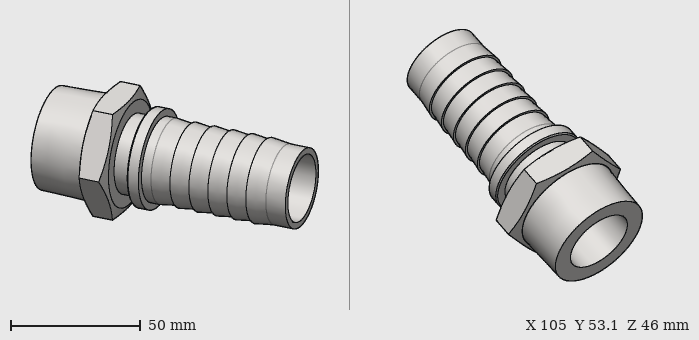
import cadquery as cq
import math

total_length = 105.0
bore_diameter = 27.0
tube_diameter = 32.0

thread_length = 21.0
thread_start_diameter = 41.3
thread_taper = 1 / 16

hex_width = 12.0
hex_across_flats = 46.0
hex_across_corners = hex_across_flats / math.cos(math.radians(30))
hex_face_diameter = 42.8
hex_chamfer_angle = 20.0

collar_start = 40.0
collar_end = 44.9
collar_diameter = 40.0
collar_chamfer = 0.5

barb_diameter = 34.0
barb_count = 6
barb_pitch = 8.0
tip_length = 8.2

hex_end = thread_length + hex_width
barbs_start = total_length - tip_length - barb_count * barb_pitch


def revolve_profile(points):
    """Turn (X, radius) points about the X axis."""
    return cq.Workplane("XY").polyline(points).close().revolve(360, (0, 0, 0), (1, 0, 0))


def make_thread():
    start_radius = thread_start_diameter / 2
    end_radius = start_radius + thread_length * thread_taper / 2
    return revolve_profile([
        (0, 0),
        (0, start_radius),
        (thread_length, end_radius),
        (thread_length, 0),
    ])


def make_hexagon():
    prism = (
        cq.Workplane("YZ", origin=(thread_length, 0, 0))
        .polygon(6, hex_across_corners)
        .extrude(hex_width)
    )
    face_radius = hex_face_diameter / 2
    corner_radius = hex_across_corners / 2
    bevel = (corner_radius - face_radius) * math.tan(math.radians(hex_chamfer_angle))
    envelope = revolve_profile([
        (thread_length, 0),
        (thread_length, face_radius),
        (thread_length + bevel, corner_radius),
        (hex_end - bevel, corner_radius),
        (hex_end, face_radius),
        (hex_end, 0),
    ])
    return prism.intersect(envelope)


def make_tail():
    tube_radius = tube_diameter / 2
    collar_radius = collar_diameter / 2
    barb_radius = barb_diameter / 2
    points = [
        (thread_length, 0),
        (thread_length, tube_radius),
        (collar_start, tube_radius),
        (collar_start, collar_radius - collar_chamfer),
        (collar_start + collar_chamfer, collar_radius),
        (collar_end, collar_radius),
        (collar_end, barb_radius),
    ]
    for index in range(barb_count):
        barb_start = barbs_start + index * barb_pitch
        points.append((barb_start, barb_radius))
        points.append((barb_start + barb_pitch, tube_radius))
    points.append((total_length, tube_radius))
    points.append((total_length, 0))
    return revolve_profile(points)


bore = cq.Workplane("YZ").circle(bore_diameter / 2).extrude(total_length)

result = make_thread().union(make_hexagon()).union(make_tail()).cut(bore)